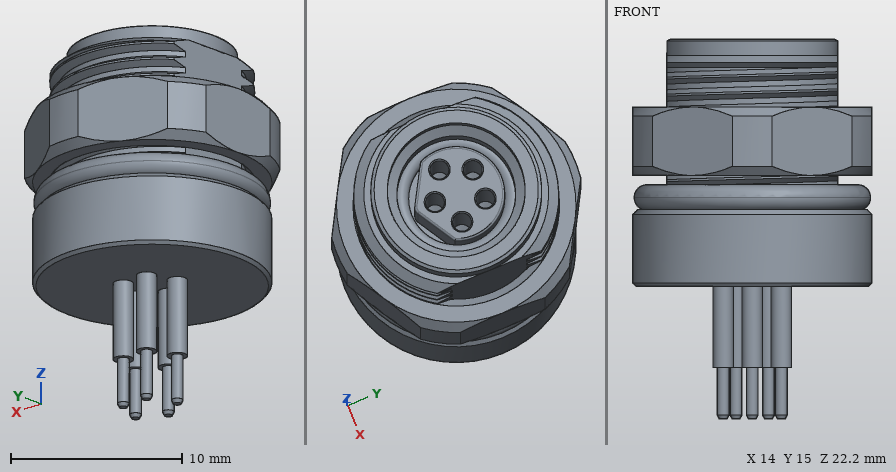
import cadquery as cq
import math

base_radius = 7.0
base_height = 4.5
base_top_chamfer = 0.3
base_bottom_chamfer = 0.2

seal_section_radius = 0.75
seal_press = 0.06
seal_centre_radius = 6.17
seal_z = base_height + seal_section_radius - seal_press

neck_bottom_radius = 5.55
neck_top_radius = 5.15

thread_radius = 6.0
thread_root_radius = 5.52
thread_root_overlap = 0.2
thread_pitch = 1.0
thread_crest_width = 0.12
thread_half_angle = math.radians(30)
thread_start_z = 5.58
lower_thread_turns = 1.5
upper_thread_turns = 3.5
upper_thread_start_z = thread_start_z + 4 * thread_pitch
thread_top_z = 13.48
thread_top_radius = 5.4
thread_chamfer_height = 0.4
barrel_half_flats = 5.0

collar_radius = barrel_half_flats
collar_top_z = 14.45
collar_chamfer_width = 0.2
collar_chamfer_height = 0.1

nut_across_flats = 14.0
nut_corner_radius = 7.5
nut_bottom_z = 6.48
nut_height = 4.0
nut_chamfer = 0.53
nut_bore_radius = 5.5
nut_bore_mouth_radius = 6.04

socket_mouth_radius = 4.03
socket_radius = 3.47
socket_mouth_depth = 0.5
socket_cone_depth = 0.9
socket_depth = 3.1

inner_seal_section_radius = 0.5
inner_seal_centre_radius = 3.28
inner_seal_depth = 2.23

insert_radius = 2.84
insert_top_depth = 0.87
insert_edge_fillet = 0.13
key_apex_y = -2.67
key_slope = math.tan(math.radians(30))
key_apex_fillet = 0.5

contact_positions = [(-0.95, 1.45), (0.95, 1.45), (-1.7, -0.35), (1.7, -0.35), (0.0, -1.35)]
contact_hole_radius = 0.55
contact_hole_depth = 3.0
contact_hole_chamfer = 0.08
contact_hole_tip_depth = contact_hole_radius * math.tan(math.radians(30))
sleeve_radius = 0.6
sleeve_length = 4.75
pin_radius = 0.35
pin_length = 3.0
pin_tip_radius = 0.23
pin_tip_length = 0.23


def revolve_profile(points):
    """Turn a closed (radius, z) outline about the Z axis."""
    return cq.Workplane("XZ").polyline(points).close().revolve(360, (0, 0, 0), (0, 1, 0))


def make_cylinder(radius, bottom_z, top_z):
    return cq.Workplane("XY").workplane(offset=bottom_z).circle(radius).extrude(top_z - bottom_z)


def make_ring(centre_radius, section_radius, z):
    """Round-section ring lying flat at height z."""
    return cq.Workplane(cq.Solid.makeTorus(centre_radius, section_radius, cq.Vector(0, 0, z)))


def make_base():
    bottom_edge = base_radius - base_bottom_chamfer
    top_edge = base_radius - base_top_chamfer
    base = revolve_profile([
        (0, 0),
        (bottom_edge, 0),
        (base_radius, base_bottom_chamfer),
        (base_radius, base_height - base_top_chamfer),
        (top_edge, base_height),
        (neck_bottom_radius, base_height),
        (neck_top_radius, seal_z),
        (0, seal_z),
    ])
    return base.union(make_ring(seal_centre_radius, seal_section_radius, seal_z))


def make_thread_ridge(start_z, turns):
    """Helical V-shaped ridge, rooted a little inside the barrel core, starting on +X."""
    inner_radius = thread_root_radius - thread_root_overlap
    crest_half = thread_crest_width / 2
    inner_half = crest_half + (thread_radius - inner_radius) * math.tan(thread_half_angle)
    helix = cq.Wire.makeHelix(thread_pitch, thread_pitch * turns, thread_root_radius, cq.Vector(0, 0, start_z))
    profile = [
        (inner_radius, start_z - inner_half),
        (thread_radius, start_z - crest_half),
        (thread_radius, start_z + crest_half),
        (inner_radius, start_z + inner_half),
    ]
    return cq.Workplane("XZ").polyline(profile).close().sweep(cq.Workplane(helix), isFrenet=True)


def make_barrel_flats():
    """Slab that trims the barrel and its thread to the two flats."""
    slab = cq.Workplane("XY").workplane(offset=seal_z).rect(2 * barrel_half_flats, 2 * base_radius)
    return slab.extrude(thread_top_z - seal_z)


def make_barrel_core():
    """Thread root, closed at the top by a full-diameter rim with a lead-in chamfer."""
    rim_z = thread_top_z - thread_chamfer_height
    rim_bottom_z = rim_z - (thread_radius - thread_root_radius) * math.tan(thread_half_angle)
    return revolve_profile([
        (0, seal_z),
        (thread_root_radius, seal_z),
        (thread_root_radius, rim_bottom_z),
        (thread_radius, rim_z),
        (thread_top_radius, thread_top_z),
        (0, thread_top_z),
    ])


def make_collar():
    return revolve_profile([
        (0, thread_top_z),
        (collar_radius, thread_top_z),
        (collar_radius, collar_top_z - collar_chamfer_height),
        (collar_radius - collar_chamfer_width, collar_top_z),
        (0, collar_top_z),
    ])


def make_nut():
    nut_top_z = nut_bottom_z + nut_height
    face_radius = nut_across_flats / 2
    mouth_depth = nut_bore_mouth_radius - nut_bore_radius
    across_corners = nut_across_flats / math.cos(math.radians(30))
    hexagon = (
        cq.Workplane("XY")
        .workplane(offset=nut_bottom_z)
        .transformed(rotate=(0, 0, 30))
        .polygon(6, across_corners)
        .extrude(nut_height)
    )
    turned = revolve_profile([
        (nut_bore_mouth_radius, nut_bottom_z),
        (face_radius, nut_bottom_z),
        (nut_corner_radius, nut_bottom_z + nut_chamfer),
        (nut_corner_radius, nut_top_z - nut_chamfer),
        (face_radius, nut_top_z),
        (nut_bore_mouth_radius, nut_top_z),
        (nut_bore_radius, nut_top_z - mouth_depth),
        (nut_bore_radius, nut_bottom_z + mouth_depth),
    ])
    return hexagon.intersect(turned)


def make_socket():
    """Volume removed from the collar and barrel for the mating plug."""
    return revolve_profile([
        (0, collar_top_z),
        (socket_mouth_radius, collar_top_z),
        (socket_mouth_radius, collar_top_z - socket_mouth_depth),
        (socket_radius, collar_top_z - socket_cone_depth),
        (socket_radius, collar_top_z - socket_depth),
        (0, collar_top_z - socket_depth),
    ])


def make_insert():
    floor_z = collar_top_z - socket_depth
    top_z = collar_top_z - insert_top_depth
    shoulder_y = key_apex_y + insert_radius * key_slope
    keyed_outline = (
        cq.Workplane("XY")
        .workplane(offset=floor_z)
        .polyline([
            (0, key_apex_y),
            (insert_radius, shoulder_y),
            (insert_radius, insert_radius),
            (-insert_radius, insert_radius),
            (-insert_radius, shoulder_y),
        ])
        .close()
        .extrude(top_z - floor_z)
        .edges("|Z and <Y")
        .fillet(key_apex_fillet)
    )
    insert = make_cylinder(insert_radius, floor_z, top_z).intersect(keyed_outline)
    return insert.faces(">Z").edges().fillet(insert_edge_fillet)


def make_contact_hole():
    """Chamfered blind hole with a conical bottom, on the Z axis."""
    top_z = collar_top_z - insert_top_depth
    bottom_z = top_z - contact_hole_depth
    return revolve_profile([
        (0, top_z),
        (contact_hole_radius + contact_hole_chamfer, top_z),
        (contact_hole_radius, top_z - contact_hole_chamfer),
        (contact_hole_radius, bottom_z),
        (0, bottom_z - contact_hole_tip_depth),
    ])


def make_contact_tail():
    """Sleeve and solder pin below the base, on the Z axis."""
    pin_end_z = -sleeve_length - pin_length
    return revolve_profile([
        (0, base_bottom_chamfer),
        (sleeve_radius, base_bottom_chamfer),
        (sleeve_radius, -sleeve_length),
        (pin_radius, -sleeve_length),
        (pin_radius, pin_end_z + pin_tip_length),
        (pin_tip_radius, pin_end_z),
        (0, pin_end_z),
    ])


barrel_flats = make_barrel_flats()
inner_seal_z = collar_top_z - inner_seal_depth

shell = make_base().union(make_barrel_core().intersect(barrel_flats)).union(make_collar())
body = (
    shell.cut(make_socket())
    .union(make_ring(inner_seal_centre_radius, inner_seal_section_radius, inner_seal_z))
    .union(make_insert())
)

contact_hole = make_contact_hole()
contact_tail = make_contact_tail()
for x, y in contact_positions:
    body = body.cut(contact_hole.translate((x, y, 0)))
    body = body.union(contact_tail.translate((x, y, 0)))

lower_thread = make_thread_ridge(thread_start_z, lower_thread_turns).intersect(barrel_flats)
upper_thread = make_thread_ridge(upper_thread_start_z, upper_thread_turns).intersect(barrel_flats)
result = body.union(lower_thread).union(upper_thread).union(make_nut())